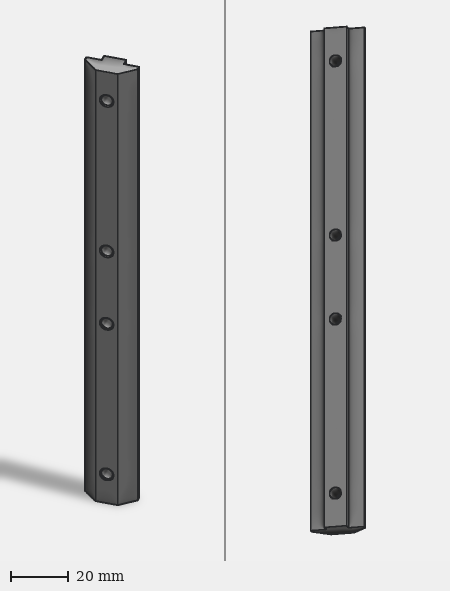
import cadquery as cq

length = 180.0
width = 19.3
depth = 9.4

front_flat_width = 8.1
tongue_width = 8.1
tongue_height = 2.7
lip_thickness = 1.6

hole_diameter = 4.1
countersink_diameter = 5.0
countersink_angle = 90.0
inner_hole_offset = 15.1
outer_hole_offset = 78.0

front_y = -depth / 2
shoulder_y = depth / 2 - tongue_height
lip_front_y = shoulder_y - lip_thickness


def make_rail():
    """Extrude the symmetric T-nut profile along Z, centred on the origin."""
    right_half = [
        (0, front_y),
        (front_flat_width / 2, front_y),
        (width / 2, lip_front_y),
        (width / 2, shoulder_y),
        (tongue_width / 2, shoulder_y),
        (tongue_width / 2, depth / 2),
        (0, depth / 2),
    ]
    profile = cq.Workplane("XY").workplane(offset=-length / 2).polyline(right_half)
    return profile.mirrorY().extrude(length)


def drill_holes(rail):
    """Drill the four holes from the front face, in pairs mirrored about mid-length."""
    positions = [
        (0, side * offset)
        for offset in (inner_hole_offset, outer_hole_offset)
        for side in (-1, 1)
    ]
    front_face = cq.Workplane("XZ", origin=(0, front_y, 0))
    return (
        rail.copyWorkplane(front_face)
        .pushPoints(positions)
        .cskHole(hole_diameter, countersink_diameter, countersink_angle)
    )


result = drill_holes(make_rail())